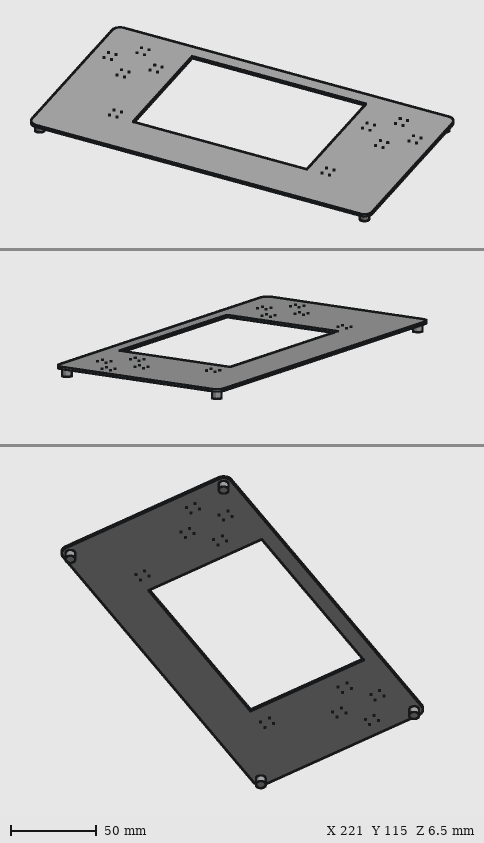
import cadquery as cq

length = 221.0
width = 115.0
plate_thickness = 1.5
corner_radius = 5.0

window_length = 113.0
window_width = 77.4
window_center_y = 9.5

total_height = 6.5
standoff_diameter = 5.7
standoff_height = total_height - plate_thickness
standoff_x = length / 2 - corner_radius
standoff_y = width / 2 - corner_radius

pin_hole_diameter = 0.6
pin_pitch_x = 4.9
pin_pitch_y = 6.0

cross_center_x = 84.0
cross_center_y = 27.2
cross_arm_x = 15.0
cross_arm_y = 13.0
single_button_x = cross_center_x - cross_arm_x
single_button_y = -25.9
button_shift_x = -0.5


def make_plate():
    plate = cq.Workplane("XY").box(length, width, plate_thickness, centered=(True, True, False))
    return plate.edges("|Z").fillet(corner_radius)


def make_window():
    window = cq.Workplane("XY").center(0, window_center_y)
    return window.rect(window_length, window_width).extrude(plate_thickness)


def make_standoffs():
    corners = cq.Workplane("XY").rect(2 * standoff_x, 2 * standoff_y, forConstruction=True).vertices()
    return corners.circle(standoff_diameter / 2).extrude(-standoff_height)


def button_centers():
    right_side = [
        (cross_center_x - cross_arm_x, cross_center_y),
        (cross_center_x + cross_arm_x, cross_center_y),
        (cross_center_x, cross_center_y - cross_arm_y),
        (cross_center_x, cross_center_y + cross_arm_y),
        (single_button_x, single_button_y),
    ]
    left_side = [(-x, y) for x, y in right_side]
    return [(x + button_shift_x, y) for x, y in right_side + left_side]


def make_pin_holes():
    pins = [
        (x + side_x * pin_pitch_x / 2, y + side_y * pin_pitch_y / 2)
        for x, y in button_centers()
        for side_x in (-1, 1)
        for side_y in (-1, 1)
    ]
    return cq.Workplane("XY").pushPoints(pins).circle(pin_hole_diameter / 2).extrude(plate_thickness)


result = make_plate().cut(make_window()).cut(make_pin_holes()).union(make_standoffs())